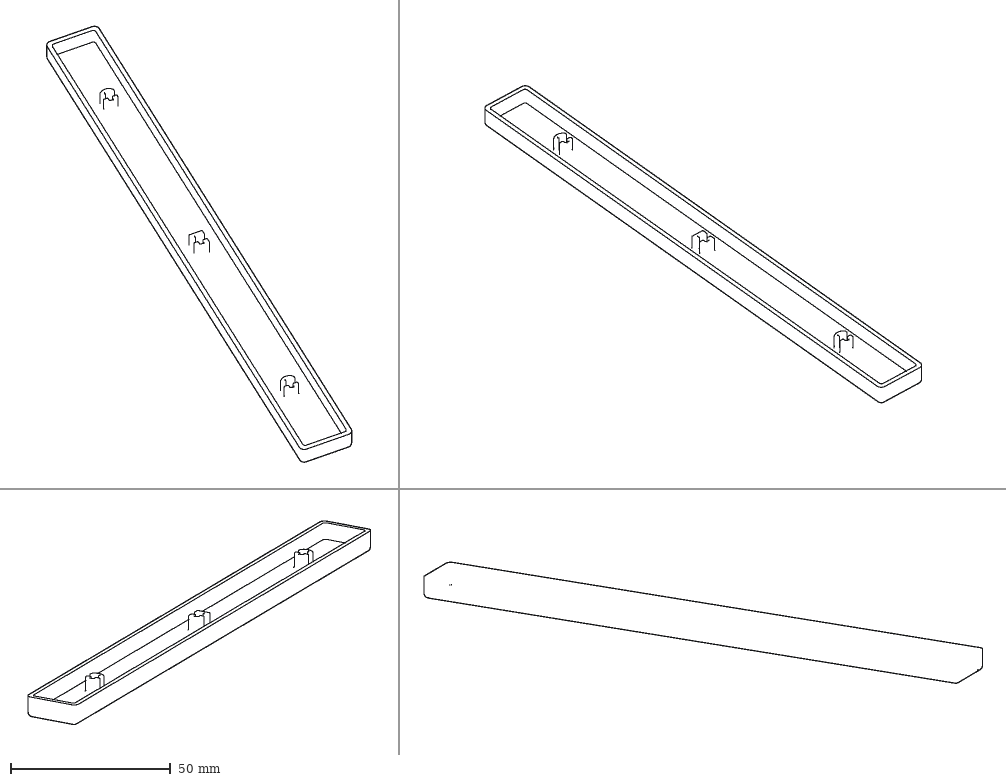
import cadquery as cq

LENGTH = 189.5
WIDTH = 18.0
HEIGHT = 7.0
WALL = 1.5
FLOOR = 1.5
OUTER_CORNER_RADIUS = 1.7
BOTTOM_EDGE_RADIUS = 1.61
INNER_CORNER_RADIUS = 0.85

POST_TOP = 6.6
POST_WIDTH = 4.7
CENTER_POST_LENGTH = 5.9
SIDE_POST_DIAMETER = CENTER_POST_LENGTH
SIDE_POST_OFFSET = 66.7

SLOT_LENGTH = 4.2
SLOT_WIDTH = 1.5

POST_CORNER_RADIUS = 0.4
POST_BASE_RADIUS = 0.66
POST_TOP_RADIUS = 0.28

POST_HEIGHT = POST_TOP - FLOOR
SELECT_MARGIN = 0.1


def make_tray():
    """Rounded block hollowed from above, leaving the walls and the floor."""
    block = (
        cq.Workplane("XY")
        .box(LENGTH, WIDTH, HEIGHT, centered=(True, True, False))
        .edges("|Z")
        .fillet(OUTER_CORNER_RADIUS)
        .faces("<Z")
        .edges()
        .fillet(BOTTOM_EDGE_RADIUS)
    )
    cavity = (
        cq.Workplane("XY", origin=(0, 0, FLOOR))
        .rect(LENGTH - 2 * WALL, WIDTH - 2 * WALL)
        .extrude(HEIGHT - FLOOR)
        .edges("|Z")
        .fillet(INNER_CORNER_RADIUS)
    )
    return block.cut(cavity)


def floor_block(length, width):
    """Block of post height standing on the tray floor at the origin."""
    return cq.Workplane("XY", origin=(0, 0, FLOOR)).rect(length, width).extrude(POST_HEIGHT)


def cut_cross(post):
    """Cut the cross slot down to the floor and round the upright edges."""
    closed_arm = floor_block(SLOT_LENGTH, SLOT_WIDTH)
    open_arm = floor_block(SLOT_WIDTH, 2 * POST_WIDTH)
    return post.cut(closed_arm.union(open_arm)).edges("|Z").fillet(POST_CORNER_RADIUS)


def make_center_post():
    return cut_cross(floor_block(CENTER_POST_LENGTH, POST_WIDTH))


def make_side_post():
    """Cylinder flattened on its two long sides."""
    cylinder = (
        cq.Workplane("XY", origin=(0, 0, FLOOR))
        .circle(SIDE_POST_DIAMETER / 2)
        .extrude(POST_HEIGHT)
    )
    return cut_cross(cylinder.intersect(floor_block(SIDE_POST_DIAMETER, POST_WIDTH)))


def post_edges_at(level):
    """Select the level edges of all posts at the given height."""
    reach_x = SIDE_POST_OFFSET + SIDE_POST_DIAMETER
    return cq.selectors.BoxSelector(
        (-reach_x, -POST_WIDTH, level - SELECT_MARGIN),
        (reach_x, POST_WIDTH, level + SELECT_MARGIN),
        boundingbox=True,
    )


part = make_tray().union(make_center_post())
for side in (-1, 1):
    part = part.union(make_side_post().translate((side * SIDE_POST_OFFSET, 0, 0)))

part = part.edges(post_edges_at(FLOOR)).fillet(POST_BASE_RADIUS)
result = part.edges(post_edges_at(POST_TOP)).fillet(POST_TOP_RADIUS)